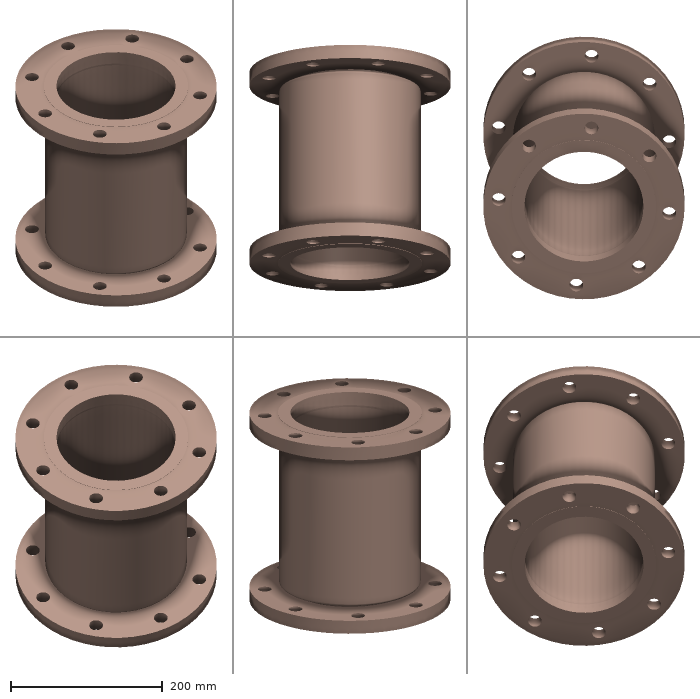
import cadquery as cq

flange_diameter = 265.0
overall_height = 262.0
bore_diameter = 156.5

flange_depth = 18.5
seal_diameter = 190.0
seal_height = 0.48

neck_diameter = 158.5
neck_flare = 1.9
flare_depth = 21.2

body_diameter = 186.5
body_depth = 23.8
body_corner_radius = 3.5

bore_cone_depth = 18.3
bore_cone_height = 2.6
passage_widening = 0.3

bolt_count = 8
bolt_hole_diameter = 18.0
bolt_circle_diameter = 225.2

half_height = overall_height / 2
bore_radius = bore_diameter / 2
passage_radius = bore_radius + passage_widening
seal_radius = seal_diameter / 2
neck_radius = neck_diameter / 2
body_radius = body_diameter / 2

end_section = [
    (passage_radius, bore_cone_depth + bore_cone_height),
    (bore_radius, bore_cone_depth),
    (bore_radius, 0),
    (seal_radius, 0),
    (seal_radius, seal_height),
    (flange_diameter / 2, seal_height),
    (flange_diameter / 2, flange_depth),
    (neck_radius, flange_depth),
    (neck_radius, flare_depth),
    (neck_radius + neck_flare, body_depth),
    (body_radius, body_depth),
]

upper_points = [(radius, half_height - depth) for radius, depth in end_section]
lower_points = [(radius, -height) for radius, height in reversed(upper_points)]
spool = (
    cq.Workplane("XZ")
    .polyline(upper_points + lower_points)
    .close()
    .revolve(360, (0, 0), (0, 1))
)

body_corners = cq.selectors.RadiusNthSelector(-3)
spool = spool.edges("%CIRCLE").edges(body_corners).fillet(body_corner_radius)

bolt_holes = (
    cq.Workplane("XY", origin=(0, 0, -half_height))
    .polarArray(bolt_circle_diameter / 2, 180 / bolt_count, 360, bolt_count)
    .circle(bolt_hole_diameter / 2)
    .extrude(overall_height)
)

result = spool.cut(bolt_holes)